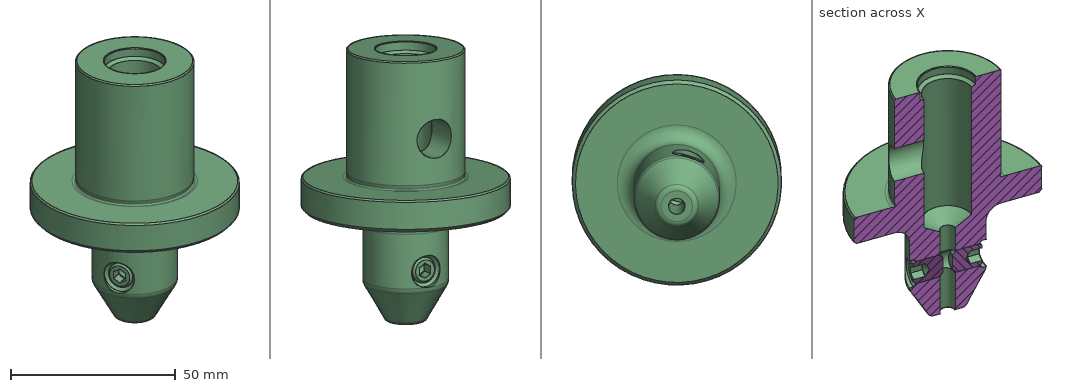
import cadquery as cq
import math

total_height = 85.0
flange_bottom = 35.0
flange_top = 45.0

shank_radius = 18.0
shank_chamfer = 0.4

groove_depth = 0.25
groove_face_depth = 0.2
groove_height = 1.45
groove_slope_height = 1.0
groove_corner_radius = 0.4
groove_outer_radius = 19.0

flange_diameter = 63.5
flange_top_chamfer = 0.5
flange_bottom_chamfer = 1.0

neck_radius = 13.0
neck_fillet = 5.0
neck_bottom = 12.2
nose_half_angle = 30.0
neck_edge_fillet = 3.0
nose_tip_fillet = 2.0

counterbore_radius = 9.3
counterbore_depth = 2.8
counterbore_chamfer = 0.25
bore_radius = 8.0
bore_bottom = 34.0
through_radius = 2.5
drill_half_angle = 59.0

side_hole_radius = 6.0
side_hole_height = 60.4

screw_radius = 4.0
screw_height = 18.0
screw_inner_end = 1.5
screw_length = 10.0
screw_chamfer = 0.7
screw_point_radius = 2.7
socket_sides = 6
socket_flats = 4.0
socket_depth = 4.0
socket_tip_half_angle = 60.0

recess_radius = 5.0
recess_floor = 11.6


def drill_point_height(large_radius, small_radius, half_angle):
    """Axial length of a cone between two radii, with its half angle in degrees."""
    return (large_radius - small_radius) / math.tan(math.radians(half_angle))


def revolve_about_z(profile):
    return profile.close().revolve(360, (0, 0, 0), (0, 1, 0))


def y_cylinder(radius, y_start, length, height):
    """Cylinder along +Y from y_start, centred on x = 0 at the given height."""
    plane = cq.Plane((0, y_start, height), (1, 0, 0), (0, 1, 0))
    return cq.Workplane(plane).circle(radius).extrude(length)


def y_cone(start_radius, end_radius, y_start, length, height):
    """Cone along +Y from y_start, centred on x = 0 at the given height."""
    start = cq.Vector(0, y_start, height)
    return cq.Workplane(obj=cq.Solid.makeCone(start_radius, end_radius, length, start, cq.Vector(0, 1, 0)))


def lower_body():
    """Flange, neck and nose as one turned shape."""
    nose_radius = neck_radius - neck_bottom * math.tan(math.radians(nose_half_angle))
    nose = revolve_about_z(
        cq.Workplane("XZ")
        .lineTo(nose_radius, 0)
        .lineTo(neck_radius, neck_bottom)
        .lineTo(neck_radius, flange_bottom)
        .lineTo(0, flange_bottom)
    )
    nose = nose.faces("<Z").edges().fillet(nose_tip_fillet)
    neck_edge = cq.selectors.NearestToPointSelector((0, 0, neck_bottom))
    nose = nose.edges(neck_edge).fillet(neck_edge_fillet)

    flange = (
        cq.Workplane("XY")
        .workplane(offset=flange_bottom)
        .circle(flange_diameter / 2)
        .extrude(flange_top - flange_bottom)
        .faces(">Z").edges().chamfer(flange_top_chamfer)
        .faces("<Z").edges().chamfer(flange_bottom_chamfer)
    )
    root_fillet = revolve_about_z(
        cq.Workplane("XZ")
        .moveTo(0, flange_bottom - neck_fillet)
        .lineTo(neck_radius, flange_bottom - neck_fillet)
        .radiusArc((neck_radius + neck_fillet, flange_bottom), neck_fillet)
        .lineTo(0, flange_bottom)
    )
    return nose.union(root_fillet).union(flange)


def shank():
    """Plain cylinder standing on the flange."""
    return (
        cq.Workplane("XY")
        .workplane(offset=flange_top)
        .circle(shank_radius)
        .extrude(total_height - flange_top)
        .faces(">Z").edges().chamfer(shank_chamfer)
    )


def relief_groove():
    """Ring cut from the foot of the shank and the adjoining flange face."""
    wall_radius = shank_radius - groove_depth
    floor_height = flange_top - groove_face_depth
    groove_top = flange_top + groove_height
    return revolve_about_z(
        cq.Workplane("XZ")
        .moveTo(shank_radius, groove_top)
        .lineTo(wall_radius, groove_top - groove_slope_height)
        .lineTo(wall_radius, floor_height + groove_corner_radius)
        .radiusArc((wall_radius + groove_corner_radius, floor_height), -groove_corner_radius)
        .lineTo(groove_outer_radius, flange_top)
        .lineTo(groove_outer_radius, groove_top)
    )


def axial_bore():
    """Counterbore, blind main bore and narrow through bore on the Z axis."""
    ledge_top = total_height - counterbore_depth
    ledge_drop = drill_point_height(counterbore_radius, bore_radius, drill_half_angle)
    cone_drop = drill_point_height(bore_radius, through_radius, drill_half_angle)
    return revolve_about_z(
        cq.Workplane("XZ")
        .lineTo(through_radius, 0)
        .lineTo(through_radius, bore_bottom - cone_drop)
        .lineTo(bore_radius, bore_bottom)
        .lineTo(bore_radius, ledge_top - ledge_drop)
        .lineTo(counterbore_radius, ledge_top)
        .lineTo(counterbore_radius, total_height - counterbore_chamfer)
        .lineTo(counterbore_radius + counterbore_chamfer, total_height)
        .lineTo(0, total_height)
    )


def screw_hole():
    """Through hole along Y with a coned recess at both mouths."""
    hole = y_cylinder(screw_radius, -neck_radius, 2 * neck_radius, screw_height)
    cone_depth = recess_radius - screw_radius
    recess = y_cylinder(recess_radius, recess_floor, neck_radius - recess_floor, screw_height)
    cone = y_cone(screw_radius, recess_radius, recess_floor - cone_depth, cone_depth, screw_height)
    mouth = recess.union(cone)
    return hole.union(mouth).union(mouth.mirror("XZ"))


def make_holder():
    """Shank, flange and nose in one piece, with all bores and holes cut."""
    side_hole = y_cylinder(side_hole_radius, 0, shank_radius, side_hole_height)
    return (
        lower_body()
        .union(shank())
        .cut(relief_groove())
        .cut(axial_bore())
        .cut(side_hole)
        .cut(screw_hole())
    )


def make_set_screw(turn):
    """Set screw facing -Y, turned about Z by the given angle."""
    outer_end = screw_inner_end + screw_length
    screw = (
        y_cylinder(screw_radius, -outer_end, screw_length, screw_height)
        .faces("<Y").edges().chamfer(screw_chamfer)
        .faces(">Y").edges().chamfer(screw_radius - screw_point_radius)
    )
    socket_diameter = socket_flats / math.cos(math.pi / socket_sides)
    socket_face = cq.Plane((0, -outer_end, screw_height), (0, 0, 1), (0, 1, 0))
    socket = cq.Workplane(socket_face).polygon(socket_sides, socket_diameter).extrude(socket_depth)
    socket_radius = socket_diameter / 2
    tip_depth = drill_point_height(socket_radius, 0, socket_tip_half_angle)
    tip = y_cone(socket_radius, 0, socket_depth - outer_end, tip_depth, screw_height)
    return screw.cut(socket).cut(tip).rotate((0, 0, 0), (0, 0, 1), turn)


holder = make_holder()
set_screws = [make_set_screw(turn) for turn in (0, 180)]

result = cq.Compound.makeCompound([holder.val(), *[screw.val() for screw in set_screws]])